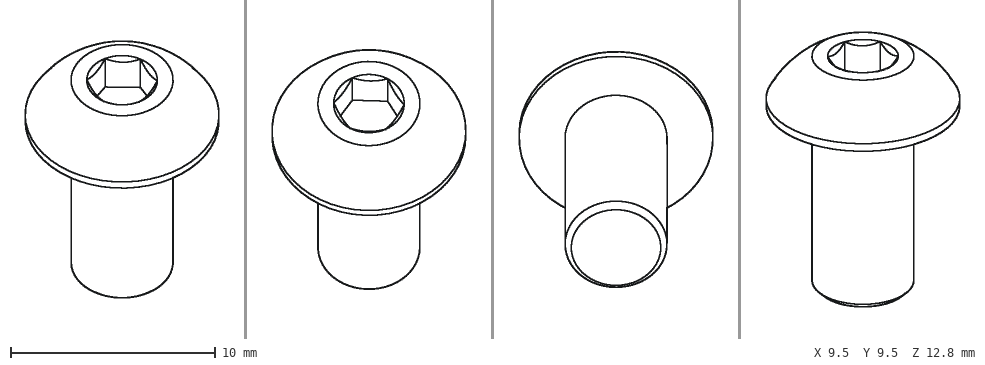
import cadquery as cq
import math

total_length = 12.75
head_diameter = 9.5
head_height = 2.75
rim_height = 0.42
shank_diameter = 5.0
tip_chamfer = 0.3

crown_diameter = 5.0
dome_bulge = 0.23

socket_across_flats = 3.0
socket_depth = 1.94
socket_turn = 30.0
socket_chamfer_angle = 45.0

head_radius = head_diameter / 2
shank_radius = shank_diameter / 2
crown_radius = crown_diameter / 2
shank_length = total_length - head_height
rim_top = shank_length + rim_height
socket_corner_radius = socket_across_flats / math.sqrt(3)


def make_body():
    """Revolve the half profile of the head and shank about Z."""
    run = crown_radius - head_radius
    rise = total_length - rim_top
    chord = math.hypot(run, rise)
    dome_middle = (
        (head_radius + crown_radius) / 2 + dome_bulge * rise / chord,
        (rim_top + total_length) / 2 - dome_bulge * run / chord,
    )
    return (
        cq.Workplane("XZ")
        .lineTo(shank_radius - tip_chamfer, 0)
        .lineTo(shank_radius, tip_chamfer)
        .lineTo(shank_radius, shank_length)
        .lineTo(head_radius, shank_length)
        .lineTo(head_radius, rim_top)
        .threePointArc(dome_middle, (crown_radius, total_length))
        .lineTo(0, total_length)
        .close()
        .revolve(360, (0, 0, 0), (0, 1, 0))
    )


def make_socket():
    """Hexagonal prism joined with the lead-in cone at its mouth."""
    prism = (
        cq.Workplane("XY")
        .workplane(offset=total_length - socket_depth)
        .polygon(6, 2 * socket_corner_radius)
        .extrude(socket_depth)
        .rotate((0, 0, 0), (0, 0, 1), socket_turn)
    )
    cone_depth = socket_corner_radius * math.tan(math.radians(socket_chamfer_angle))
    cone = (
        cq.Workplane("XZ")
        .moveTo(0, total_length)
        .lineTo(socket_corner_radius, total_length)
        .lineTo(0, total_length - cone_depth)
        .close()
        .revolve(360, (0, 0, 0), (0, 1, 0))
    )
    return prism.union(cone)


result = make_body().cut(make_socket())